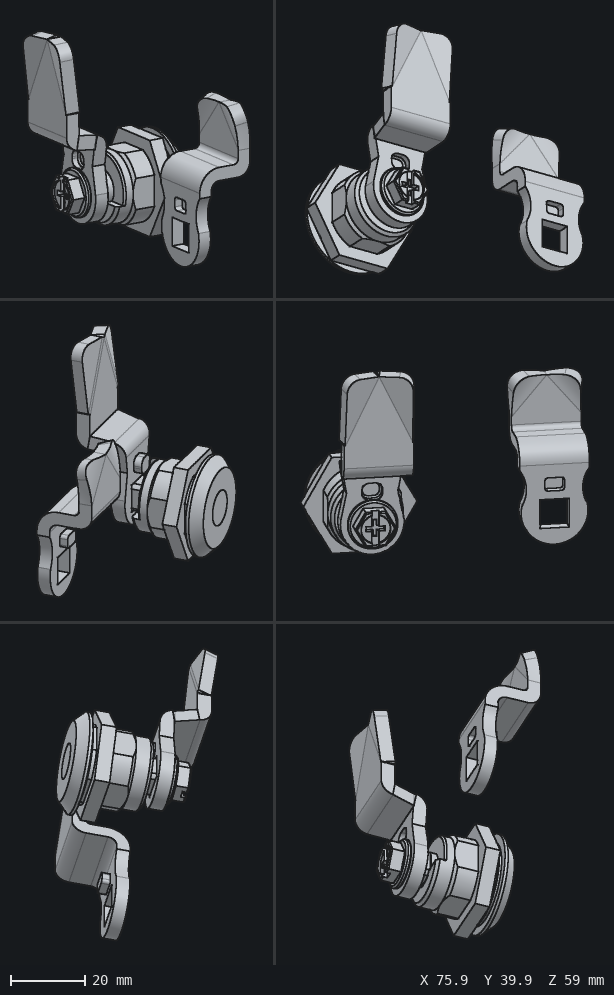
import cadquery as cq
import math


FLANGE_RADIUS = 14.1
FLANGE_FACE_RADIUS = 11.15
FLANGE_BEVEL_DEPTH = 3.0
FLANGE_DEPTH = 3.95
BODY_RADIUS = 11.0
BODY_FLATS = 20.2
COLLAR_DIAMETER = 20.3
COLLAR_START = 16.9
HOUSING_DEPTH = 21.9
COLLAR_CHAMFER = 0.9
STOP_FLOOR_DEPTH = 19.7
STOP_FLOOR_CHAMFER = 0.5
STOP_WALL = 2.9

GASKET_RADIUS = 11.6
GASKET_THICKNESS = 0.7
NUT_START = 5.9
NUT_THICKNESS = 4.2
NUT_ACROSS_FLATS = 27.1

ROTOR_RADIUS = 4.9
SQUARE = 8.05
ROTOR_ROUND_DEPTH = 21.6

CAM_BACK = 24.05
CAM_HALF_WIDTH = 9.6
STOP_HEIGHT = 2.35

CAM_THICKNESS = 4.0
CAM_FRONT = CAM_BACK + CAM_THICKNESS
CAM_HUB_RADIUS = 8.7
CAM_TAPER_START = 1.3
CAM_NECK_Z = 8.9
CAM_NECK_HALF_WIDTH = 7.05
CAM_BEND_Z = 14.0
CAM_BEND_HALF_WIDTH = 8.0
ARM_ANGLE = 9.5
ARM_LENGTH = 6.7
ARM_START_HALF_WIDTH = 8.4
CAM_TOP = 44.4
CAM_FOLD_Z = 25.4
CAM_CORNER_HALF_WIDTH = 9.25
CAM_FOLD_ANGLE = 16.0
CAM_CORNER_RADIUS = 3.8
CAM_STOP_Z = 9.0
CAM_STOP_SIZE = (5.8, 4.8)
CAM_STOP_CORNER = 2.1
POCKET_BEVEL = 0.5

SPARE_X = 49.9
SPARE_THICKNESS = 3.8
SPARE_FRONT = 27.9
SPARE_HUB_RADIUS = 9.2
SPARE_HUB_Z = 0.45
SPARE_HUB_END_Z = 2.65
SPARE_NECK_Z = 6.8
SPARE_NECK_HALF_WIDTH = 7.75
SPARE_SHOULDER_Z = 12.45
SPARE_BEND_Z = 14.0
SPARE_BEND_RADIUS = 6.3
SPARE_TIP_FRONT = 15.55
SPARE_INNER_FILLET = 1.5
SPARE_TOP = 35.4
SPARE_FOLD_Z = 24.1
SPARE_CURL_RADIUS = 10.6
SPARE_MID_CURL = 20.0
CURVE_STEPS = 6
SPARE_CORNER_RADIUS = 4.3
SPARE_CORNER_HALF_WIDTH = 9.25
SPARE_STOP_Z = 8.3
SPARE_STOP_SIZE = (5.4, 3.7)
SPARE_STOP_CORNER = 0.9

WASHER_RADIUS = 6.8
WASHER_THICKNESS = 1.5
WASHER_CHAMFER = 0.5
WASHER_BACK_CHAMFER = 0.3
SHANK_RADIUS = 3.0
SHANK_TIP_DEPTH = 19.0
HEAD_ACROSS_FLATS = 9.7
HEAD_HEIGHT = 3.95
HEAD_CHAMFER = 0.4
DISH_RADIUS = 4.0
DISH_DEPTH = 0.6
SLOT_WIDTH = 2.0
SLOT_DEPTH = 1.5
CROSS_LENGTH = 5.2
CROSS_HEIGHT = 4.7
CROSS_ARM_X = 1.4
CROSS_ARM_Z = 1.1
CROSS_DEPTH = 2.4


def at_depth(depth, x=0, z=0):
    """Plane facing -Y at the given depth; extruding moves deeper."""
    return cq.Workplane("XZ", origin=(x, -depth, z))


def turned(radius_depth_points):
    """Solid of revolution about the lock axis from (radius, depth) points."""
    points = [(radius, -depth) for radius, depth in radius_depth_points]
    return cq.Workplane("XY").polyline(points).close().revolve(360, (0, 0), (0, 1))


def hexagon(depth, across_flats, thickness):
    across_corners = across_flats / math.cos(math.pi / 6)
    return at_depth(depth).polygon(6, across_corners).extrude(thickness)


def flatted_bar(depth, length):
    """Round bar with four flats, the section of the housing body."""
    round_bar = at_depth(depth).circle(BODY_RADIUS).extrude(length)
    return round_bar.intersect(at_depth(depth).rect(BODY_FLATS, BODY_FLATS).extrude(length))


def make_housing():
    flange = turned([
        (0, 0),
        (FLANGE_FACE_RADIUS, 0),
        (FLANGE_RADIUS, FLANGE_BEVEL_DEPTH),
        (FLANGE_RADIUS, FLANGE_DEPTH),
        (0, FLANGE_DEPTH),
    ])
    collar_radius = COLLAR_DIAMETER / 2
    body_envelope = turned([
        (0, 0),
        (BODY_RADIUS, 0),
        (BODY_RADIUS, COLLAR_START - (BODY_RADIUS - collar_radius)),
        (collar_radius, COLLAR_START),
        (0, COLLAR_START),
    ])
    body = flatted_bar(0, COLLAR_START).intersect(body_envelope)
    collar = turned([
        (0, COLLAR_START),
        (collar_radius, COLLAR_START),
        (collar_radius, HOUSING_DEPTH - COLLAR_CHAMFER),
        (collar_radius - COLLAR_CHAMFER, HOUSING_DEPTH),
        (0, HOUSING_DEPTH),
    ])
    chamfer_depth = STOP_FLOOR_DEPTH - STOP_FLOOR_CHAMFER
    stop_sweep = (
        at_depth(chamfer_depth, -STOP_WALL, -STOP_WALL)
        .rect(2 * BODY_RADIUS, 2 * BODY_RADIUS, centered=False)
        .extrude(HOUSING_DEPTH - chamfer_depth)
    )
    stop_floor = turned([
        (0, chamfer_depth),
        (collar_radius, chamfer_depth),
        (collar_radius - STOP_FLOOR_CHAMFER, STOP_FLOOR_DEPTH),
        (0, STOP_FLOOR_DEPTH),
    ])
    stop_recess = stop_sweep.cut(stop_floor)
    bore = at_depth(0).circle(ROTOR_RADIUS).extrude(HOUSING_DEPTH)
    return flange.union(body).union(collar).cut(stop_recess).cut(bore)


def make_gasket():
    ring = at_depth(FLANGE_DEPTH).circle(GASKET_RADIUS).extrude(GASKET_THICKNESS)
    return ring.cut(flatted_bar(FLANGE_DEPTH, GASKET_THICKNESS))


def make_nut():
    blank = hexagon(NUT_START, NUT_ACROSS_FLATS, NUT_THICKNESS)
    return blank.cut(flatted_bar(NUT_START, NUT_THICKNESS))


def make_rotor():
    bar = at_depth(0).circle(ROTOR_RADIUS).extrude(CAM_FRONT)
    square_length = CAM_FRONT - ROTOR_ROUND_DEPTH
    surround = (
        at_depth(ROTOR_ROUND_DEPTH)
        .rect(4 * ROTOR_RADIUS, 4 * ROTOR_RADIUS)
        .rect(SQUARE, SQUARE)
        .extrude(square_length)
    )
    screw_hole = at_depth(SHANK_TIP_DEPTH).circle(SHANK_RADIUS).extrude(CAM_FRONT - SHANK_TIP_DEPTH)
    return bar.cut(surround).cut(screw_hole)


def make_cam_corner(front):
    """Right tip corner folded forward about the fold line in the front face.

    A wedge swept round the fold line fills the gap that opens on the back.
    """
    corner_start = CAM_CORNER_HALF_WIDTH - CAM_CORNER_RADIUS
    arc_inset = CAM_CORNER_RADIUS * (1 - math.sqrt(0.5))
    fold_top = cq.Vector(0, -front, CAM_TOP)
    fold_side = cq.Vector(CAM_CORNER_HALF_WIDTH, -front, CAM_FOLD_Z)
    corner = (
        at_depth(front - CAM_THICKNESS)
        .moveTo(0, CAM_TOP)
        .lineTo(corner_start, CAM_TOP)
        .threePointArc(
            (CAM_CORNER_HALF_WIDTH - arc_inset, CAM_TOP - arc_inset),
            (CAM_CORNER_HALF_WIDTH, CAM_TOP - CAM_CORNER_RADIUS),
        )
        .lineTo(CAM_CORNER_HALF_WIDTH, CAM_FOLD_Z)
        .close()
        .extrude(CAM_THICKNESS)
        .rotate(fold_side.toTuple(), fold_top.toTuple(), -CAM_FOLD_ANGLE)
    )
    to_back = cq.Vector(0, CAM_THICKNESS, 0)
    section = cq.Wire.makePolygon(
        [fold_top, fold_side, fold_side + to_back, fold_top + to_back], close=True
    )
    wedge = cq.Solid.revolve(section, [], -CAM_FOLD_ANGLE, fold_side, fold_top)
    return corner.union(cq.Workplane(wedge))


def make_spare_corner():
    """Right tip corner of the spare cam, curled forward about an axis parallel to the fold line.

    It is a cylindrical shell trimmed by a loft whose sides run radially from the curl axis,
    so that the edges of the bent sheet stay square to its faces.
    """
    fold_line = cq.Vector(CAM_HALF_WIDTH, 0, SPARE_FOLD_Z - SPARE_TOP).normalized()
    outward = cq.Vector(-fold_line.z, 0, fold_line.x)
    backward = cq.Vector(0, 1, 0)
    curl_centre = cq.Vector(0, -SPARE_TIP_FRONT - SPARE_CURL_RADIUS, SPARE_TOP)
    fold_length = math.hypot(CAM_HALF_WIDTH, SPARE_TOP - SPARE_FOLD_Z)

    shell = (
        cq.Workplane(cq.Plane(curl_centre, xDir=outward, normal=fold_line))
        .circle(SPARE_CURL_RADIUS + SPARE_THICKNESS)
        .circle(SPARE_CURL_RADIUS)
        .extrude(2 * fold_length, both=True)
    )

    arc_x = SPARE_CORNER_HALF_WIDTH - SPARE_CORNER_RADIUS
    arc_z = SPARE_TOP - SPARE_CORNER_RADIUS
    steps = [i / CURVE_STEPS for i in range(CURVE_STEPS + 1)]
    top_edge = [(arc_x * t, SPARE_TOP) for t in steps]
    round_edge = [
        (
            arc_x + SPARE_CORNER_RADIUS * math.sin(t * math.pi / 2),
            arc_z + SPARE_CORNER_RADIUS * math.cos(t * math.pi / 2),
        )
        for t in steps
    ]
    side_edge = [
        (
            SPARE_CORNER_HALF_WIDTH + (CAM_HALF_WIDTH - SPARE_CORNER_HALF_WIDTH) * t,
            arc_z + (SPARE_FOLD_Z - arc_z) * t,
        )
        for t in steps
    ]

    tilt = math.radians(SPARE_MID_CURL)
    radial = outward * math.sin(tilt) + backward * math.cos(tilt)
    tangent = outward * math.cos(tilt) - backward * math.sin(tilt)

    def trim_wire(radius):
        """Bent outline seen from the curl axis on a plane at the given distance from it."""

        def bent(point):
            offset = cq.Vector(point[0], 0, point[1] - SPARE_TOP)
            curl = offset.dot(outward) / SPARE_CURL_RADIUS
            return (radius * math.tan(curl - tilt), offset.dot(fold_line))

        sketch = cq.Workplane(cq.Plane(curl_centre + radial * radius, xDir=tangent, normal=radial))
        sketch = sketch.moveTo(*bent(top_edge[0]))
        for edge in (top_edge, round_edge, side_edge):
            sketch = sketch.spline([bent(point) for point in edge[1:]], includeCurrent=True)
        return sketch.close().wire().val()

    inner_wire = trim_wire(SPARE_CURL_RADIUS / 2)
    outer_wire = trim_wire(2 * SPARE_CURL_RADIUS)
    trim = cq.Solid.makeLoft([inner_wire, outer_wire], True)
    return shell.intersect(cq.Workplane(trim))


def rounded_block(depth, z, size, corner, height):
    return at_depth(depth, 0, z).rect(*size).extrude(height).edges("|Y").fillet(corner)


def with_stop(cam, back, front, z, size, corner, floor_bevel=0):
    """Press a stop out of the back of a cam, leaving a matching pocket in its front.

    The pocket floor has a bevelled rim where a bevel is given.
    """
    boss = rounded_block(back - STOP_HEIGHT, z, size, corner, STOP_HEIGHT)
    pocket = rounded_block(front - STOP_HEIGHT, z, size, corner, STOP_HEIGHT)
    if floor_bevel:
        pocket = pocket.faces(">Y").chamfer(floor_bevel)
    return cam.union(boss).cut(pocket)


def square_hole(front):
    return at_depth(CAM_BACK).rect(SQUARE, SQUARE).extrude(front - CAM_BACK)


def make_cam():
    angle = math.radians(ARM_ANGLE)
    along = cq.Vector(-math.cos(angle), math.sin(angle))
    across = cq.Vector(math.sin(angle), math.cos(angle))
    mid_across = cq.Vector(math.sin(angle / 2 + math.pi / 4), math.cos(angle / 2 + math.pi / 4))

    bend_top = CAM_BEND_Z + CAM_THICKNESS
    flare = (CAM_BEND_HALF_WIDTH - CAM_NECK_HALF_WIDTH) / (CAM_BEND_Z - CAM_NECK_Z)
    top_half_width = CAM_BEND_HALF_WIDTH + flare * CAM_THICKNESS
    hub_half_width = math.sqrt(CAM_HUB_RADIUS**2 - CAM_TAPER_START**2)
    outline = (
        at_depth(CAM_BACK)
        .moveTo(hub_half_width, CAM_TAPER_START)
        .lineTo(CAM_NECK_HALF_WIDTH, CAM_NECK_Z)
        .lineTo(top_half_width, bend_top)
        .lineTo(-top_half_width, bend_top)
        .lineTo(-CAM_NECK_HALF_WIDTH, CAM_NECK_Z)
        .lineTo(-hub_half_width, CAM_TAPER_START)
        .threePointArc((0, -CAM_HUB_RADIUS), (hub_half_width, CAM_TAPER_START))
        .close()
        .extrude(CAM_THICKNESS)
    )
    bend_1 = cq.Vector(-CAM_FRONT, CAM_BEND_Z)
    arm_root_top = bend_1 + across * CAM_THICKNESS
    hub_profile = (
        cq.Workplane("YZ")
        .moveTo(-CAM_FRONT, -CAM_HUB_RADIUS)
        .lineTo(bend_1.x, bend_1.y)
        .lineTo(arm_root_top.x, arm_root_top.y)
        .threePointArc(
            (bend_1 + mid_across * CAM_THICKNESS).toTuple()[:2], (-CAM_BACK, CAM_BEND_Z)
        )
        .lineTo(-CAM_BACK, -CAM_HUB_RADIUS)
        .close()
        .extrude(CAM_HALF_WIDTH, both=True)
    )
    hub = outline.intersect(hub_profile)

    arm_end = bend_1 + along * ARM_LENGTH
    bend_2 = arm_end + across * CAM_THICKNESS
    tip_front = CAM_THICKNESS - bend_2.x
    arm = (
        cq.Workplane("YZ")
        .polyline([p.toTuple()[:2] for p in (bend_1, arm_end, bend_2, arm_root_top)])
        .close()
        .extrude(CAM_HALF_WIDTH, both=True)
    )
    arm_taper = (
        cq.Workplane("XY")
        .polyline([
            (-ARM_START_HALF_WIDTH, -CAM_BACK),
            (-ARM_START_HALF_WIDTH, -CAM_FRONT),
            (-CAM_HALF_WIDTH, arm_end.x),
            (CAM_HALF_WIDTH, arm_end.x),
            (ARM_START_HALF_WIDTH, -CAM_FRONT),
            (ARM_START_HALF_WIDTH, -CAM_BACK),
        ])
        .close()
        .extrude(CAM_TOP)
    )
    mid_knuckle = bend_2 - mid_across * CAM_THICKNESS
    knuckle = (
        cq.Workplane("YZ")
        .moveTo(bend_2.x, bend_2.y)
        .lineTo(arm_end.x, arm_end.y)
        .threePointArc((mid_knuckle.x, mid_knuckle.y), (-tip_front, bend_2.y))
        .close()
        .extrude(CAM_HALF_WIDTH, both=True)
    )

    tip = (
        at_depth(-bend_2.x)
        .polyline([
            (-CAM_HALF_WIDTH, bend_2.y),
            (CAM_HALF_WIDTH, bend_2.y),
            (CAM_HALF_WIDTH, CAM_FOLD_Z),
            (CAM_CORNER_HALF_WIDTH, CAM_FOLD_Z),
            (0, CAM_TOP),
            (-CAM_CORNER_HALF_WIDTH, CAM_FOLD_Z),
            (-CAM_HALF_WIDTH, CAM_FOLD_Z),
        ])
        .close()
        .extrude(CAM_THICKNESS)
    )
    corner = make_cam_corner(tip_front)
    cam = hub.union(arm.intersect(arm_taper)).union(knuckle)
    cam = cam.union(tip).union(corner).union(corner.mirror("YZ"))
    cam = with_stop(
        cam, CAM_BACK, CAM_FRONT, CAM_STOP_Z, CAM_STOP_SIZE, CAM_STOP_CORNER, POCKET_BEVEL
    )
    return cam.cut(square_hole(CAM_FRONT))


def make_spare_cam():
    inner_bend_radius = SPARE_BEND_RADIUS - SPARE_THICKNESS
    tip_back = SPARE_TIP_FRONT - SPARE_THICKNESS
    plate_back = SPARE_FRONT - SPARE_THICKNESS
    bend_depth = SPARE_FRONT - SPARE_BEND_RADIUS
    shelf_top = SPARE_BEND_Z + SPARE_BEND_RADIUS
    shelf_bottom = shelf_top - SPARE_THICKNESS
    hub_bottom = SPARE_HUB_Z - SPARE_HUB_RADIUS
    half = math.sqrt(0.5)

    profile = (
        cq.Workplane("YZ")
        .moveTo(-SPARE_FRONT, hub_bottom)
        .lineTo(-SPARE_FRONT, SPARE_BEND_Z)
        .threePointArc(
            (-bend_depth - SPARE_BEND_RADIUS * half, SPARE_BEND_Z + SPARE_BEND_RADIUS * half),
            (-bend_depth, shelf_top),
        )
        .lineTo(-SPARE_TIP_FRONT - SPARE_INNER_FILLET, shelf_top)
        .threePointArc(
            (
                -SPARE_TIP_FRONT - SPARE_INNER_FILLET * (1 - half),
                shelf_top + SPARE_INNER_FILLET * (1 - half),
            ),
            (-SPARE_TIP_FRONT, shelf_top + SPARE_INNER_FILLET),
        )
        .lineTo(-SPARE_TIP_FRONT, SPARE_TOP)
        .lineTo(-tip_back, SPARE_TOP)
        .lineTo(-tip_back, shelf_top)
        .threePointArc(
            (-SPARE_TIP_FRONT + SPARE_THICKNESS * half, shelf_top - SPARE_THICKNESS * half),
            (-SPARE_TIP_FRONT, shelf_bottom),
        )
        .lineTo(-bend_depth, shelf_bottom)
        .threePointArc(
            (-bend_depth - inner_bend_radius * half, SPARE_BEND_Z + inner_bend_radius * half),
            (-plate_back, SPARE_BEND_Z),
        )
        .lineTo(-plate_back, hub_bottom)
        .close()
        .extrude(CAM_HALF_WIDTH, both=True)
    )
    hub_rise = SPARE_HUB_END_Z - SPARE_HUB_Z
    hub_half_width = math.sqrt(SPARE_HUB_RADIUS**2 - hub_rise**2)
    outline = (
        at_depth(0)
        .moveTo(hub_half_width, SPARE_HUB_END_Z)
        .threePointArc((SPARE_NECK_HALF_WIDTH, SPARE_NECK_Z), (CAM_HALF_WIDTH, SPARE_SHOULDER_Z))
        .lineTo(CAM_HALF_WIDTH, SPARE_FOLD_Z)
        .lineTo(0, SPARE_TOP)
        .lineTo(-CAM_HALF_WIDTH, SPARE_FOLD_Z)
        .lineTo(-CAM_HALF_WIDTH, SPARE_SHOULDER_Z)
        .threePointArc((-SPARE_NECK_HALF_WIDTH, SPARE_NECK_Z), (-hub_half_width, SPARE_HUB_END_Z))
        .threePointArc((0, hub_bottom), (hub_half_width, SPARE_HUB_END_Z))
        .close()
        .extrude(SPARE_FRONT)
    )
    cam = profile.intersect(outline)

    corner = make_spare_corner()
    cam = cam.union(corner).union(corner.mirror("YZ"))
    cam = with_stop(
        cam, plate_back, SPARE_FRONT, SPARE_STOP_Z, SPARE_STOP_SIZE, SPARE_STOP_CORNER
    )
    return cam.cut(square_hole(SPARE_FRONT)).translate((SPARE_X, 0, 0))


def make_washer():
    front = CAM_FRONT + WASHER_THICKNESS
    return turned([
        (SHANK_RADIUS, CAM_FRONT),
        (WASHER_RADIUS - WASHER_BACK_CHAMFER, CAM_FRONT),
        (WASHER_RADIUS, CAM_FRONT + WASHER_BACK_CHAMFER),
        (WASHER_RADIUS, front - WASHER_CHAMFER),
        (WASHER_RADIUS - WASHER_CHAMFER, front),
        (SHANK_RADIUS, front),
    ])


def make_screw():
    head_base = CAM_FRONT + WASHER_THICKNESS
    head_top = head_base + HEAD_HEIGHT
    head = hexagon(head_base, HEAD_ACROSS_FLATS, HEAD_HEIGHT).faces("<Y").chamfer(HEAD_CHAMFER)
    shank = at_depth(SHANK_TIP_DEPTH).circle(SHANK_RADIUS).extrude(head_base - SHANK_TIP_DEPTH)
    dish = at_depth(head_top - DISH_DEPTH).circle(DISH_RADIUS).extrude(DISH_DEPTH)
    slot = at_depth(head_top - SLOT_DEPTH).rect(SLOT_WIDTH, 2 * HEAD_ACROSS_FLATS).extrude(SLOT_DEPTH)
    cross_plane = at_depth(head_top - CROSS_DEPTH)
    cross_x = cross_plane.rect(CROSS_LENGTH, CROSS_ARM_X).extrude(CROSS_DEPTH)
    cross_z = cross_plane.rect(CROSS_ARM_Z, CROSS_HEIGHT).extrude(CROSS_DEPTH)
    return head.union(shank).cut(dish).cut(slot).cut(cross_x).cut(cross_z)


housing = make_housing()
gasket = make_gasket()
nut = make_nut()
rotor = make_rotor()
cam = make_cam()
washer = make_washer()
screw = make_screw()
spare_cam = make_spare_cam()

result = cq.Compound.makeCompound([
    housing.val(),
    gasket.val(),
    nut.val(),
    rotor.val(),
    cam.val(),
    washer.val(),
    screw.val(),
    spare_cam.val(),
])